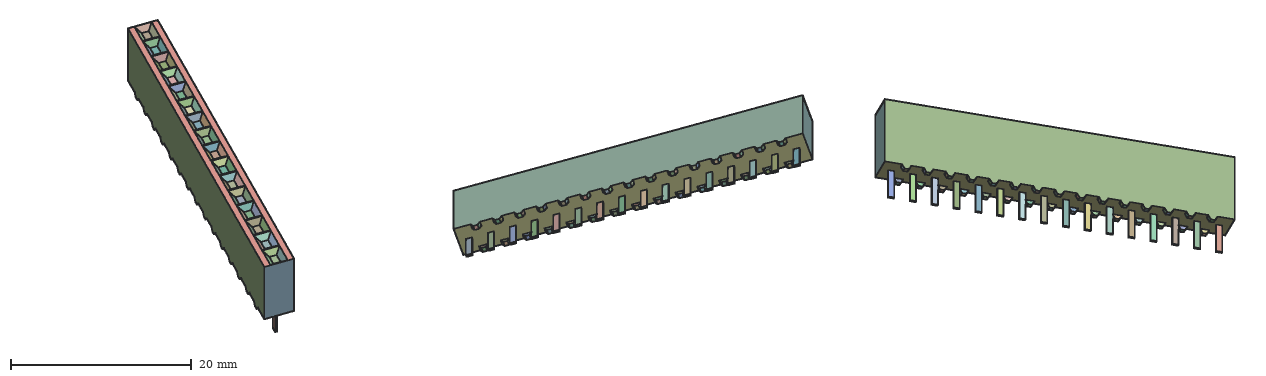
import cadquery as cq

PIN_COUNT = 16
PITCH = 2.54
TOTAL_HEIGHT = 11.56

HOUSING_LENGTH = PIN_COUNT * PITCH
HOUSING_WIDTH = 3.56
PIN_LENGTH = 3.43
HOUSING_HEIGHT = TOTAL_HEIGHT - PIN_LENGTH

PIN_WIDTH = 0.7
PIN_THICKNESS = 0.25

FUNNEL_WALL = 0.1
MOUTH_LENGTH = PITCH - FUNNEL_WALL
MOUTH_WIDTH = 2.06
FLOOR_LENGTH = 1.16
FLOOR_WIDTH = 0.86
FUNNEL_DEPTH = 0.62

FOOT_HEIGHT = 0.5
FOOT_TOP_LENGTH = 1.1
FOOT_BOTTOM_LENGTH = 0.5
FOOT_THICKNESS = 0.55


def row_positions(count):
    """X positions of a centred row with the given number of items."""
    return [(i - (count - 1) / 2) * PITCH for i in range(count)]


def make_housing():
    return cq.Workplane("XY").box(HOUSING_LENGTH, HOUSING_WIDTH, HOUSING_HEIGHT, centered=(True, True, False))


def make_funnel(x):
    return (
        cq.Workplane("XY", origin=(x, 0, HOUSING_HEIGHT - FUNNEL_DEPTH))
        .rect(FLOOR_LENGTH, FLOOR_WIDTH)
        .workplane(offset=FUNNEL_DEPTH)
        .rect(MOUTH_LENGTH, MOUTH_WIDTH)
        .loft(ruled=True)
    )


def make_pin(x):
    return (
        cq.Workplane("XY", origin=(x, 0, 0))
        .rect(PIN_WIDTH, PIN_THICKNESS)
        .extrude(-PIN_LENGTH)
    )


def make_foot_pair(x):
    """Two feet at the same X, flush with the front and back of the housing."""
    half_top = FOOT_TOP_LENGTH / 2
    half_bottom = FOOT_BOTTOM_LENGTH / 2
    profile = [
        (-half_top, 0),
        (half_top, 0),
        (half_bottom, -FOOT_HEIGHT),
        (-half_bottom, -FOOT_HEIGHT),
    ]
    front_foot = (
        cq.Workplane("XZ", origin=(x, -HOUSING_WIDTH / 2, 0))
        .polyline(profile)
        .close()
        .extrude(-FOOT_THICKNESS)
    )
    return front_foot.add(front_foot.mirror("XZ")).combine()


result = make_housing()
for pin_x in row_positions(PIN_COUNT):
    result = result.cut(make_funnel(pin_x)).union(make_pin(pin_x))
for foot_x in row_positions(PIN_COUNT - 1):
    result = result.union(make_foot_pair(foot_x))